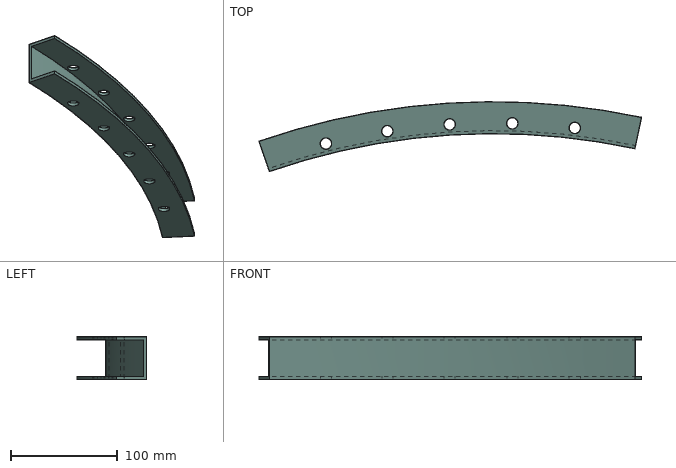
import cadquery as cq
import math

length_x = 358.5
height = 40.0
flange_width = 30.0
thickness = 3.0
outer_radius = 667.0
inner_radius = outer_radius - flange_width

left_angle = 19.2
right_angle = math.degrees(math.asin(length_x / outer_radius - math.sin(math.radians(left_angle))))

hole_diameter = 10.5
hole_count = 5
hole_pitch_angle = 5.2
first_hole_angle = -14.0
hole_setback = 10.0
hole_circle_radius = inner_radius + hole_setback


def polar(radius, angle):
    """Point on a circle about the arc centre, with positive angles toward +X."""
    radians = math.radians(angle)
    return (radius * math.sin(radians), radius * math.cos(radians))


def arc_bar(small_radius, large_radius, bar_height):
    """Curved bar between two radii, spanning the two end angles, centred on Z."""
    middle_angle = (right_angle - left_angle) / 2
    return (
        cq.Workplane("XY")
        .moveTo(*polar(small_radius, -left_angle))
        .threePointArc(polar(small_radius, middle_angle), polar(small_radius, right_angle))
        .lineTo(*polar(large_radius, right_angle))
        .threePointArc(polar(large_radius, middle_angle), polar(large_radius, -left_angle))
        .close()
        .extrude(bar_height / 2, both=True)
    )


channel = arc_bar(inner_radius, outer_radius, height).cut(
    arc_bar(inner_radius + thickness, outer_radius, height - 2 * thickness)
)

hole_centers = [
    polar(hole_circle_radius, first_hole_angle + index * hole_pitch_angle)
    for index in range(hole_count)
]
holes = (
    cq.Workplane("XY")
    .pushPoints(hole_centers)
    .circle(hole_diameter / 2)
    .extrude(height, both=True)
)

result = channel.cut(holes)